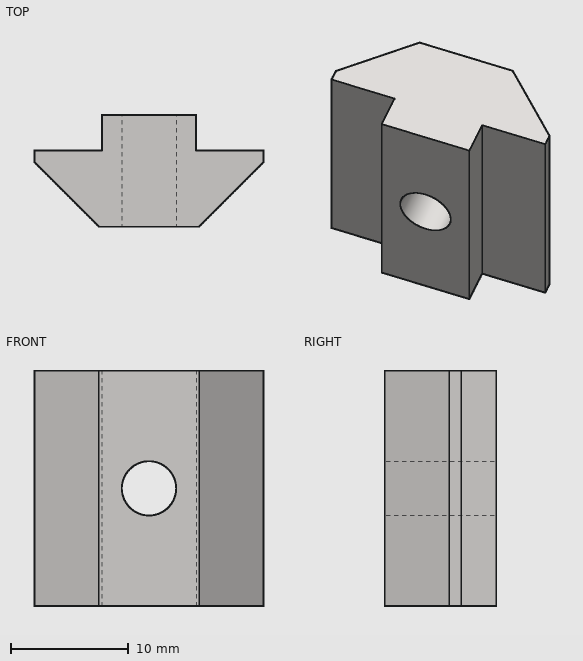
import cadquery as cq

length = 20.0
flange_width = 19.5
flange_edge = 1.0
bevel = 5.5
tongue_width = 8.0
tongue_height = 3.0
hole_diameter = 4.6

flange_back = bevel + flange_edge
depth = flange_back + tongue_height

half_flange = flange_width / 2
half_tongue = tongue_width / 2
half_narrow_face = half_flange - bevel


def nut_body():
    """Constant cross-section extruded along Z, with the narrow face at Y = 0."""
    right_half = [
        (half_narrow_face, 0),
        (half_flange, bevel),
        (half_flange, flange_back),
        (half_tongue, flange_back),
        (half_tongue, depth),
    ]
    left_half = [(-x, y) for x, y in reversed(right_half)]
    return cq.Workplane("XY").polyline(right_half + left_half).close().extrude(length)


def through_hole():
    """Cylinder along Y through the middle of the narrow face."""
    return (
        cq.Workplane("XZ")
        .center(0, length / 2)
        .circle(hole_diameter / 2)
        .extrude(-depth)
    )


result = nut_body().cut(through_hole())